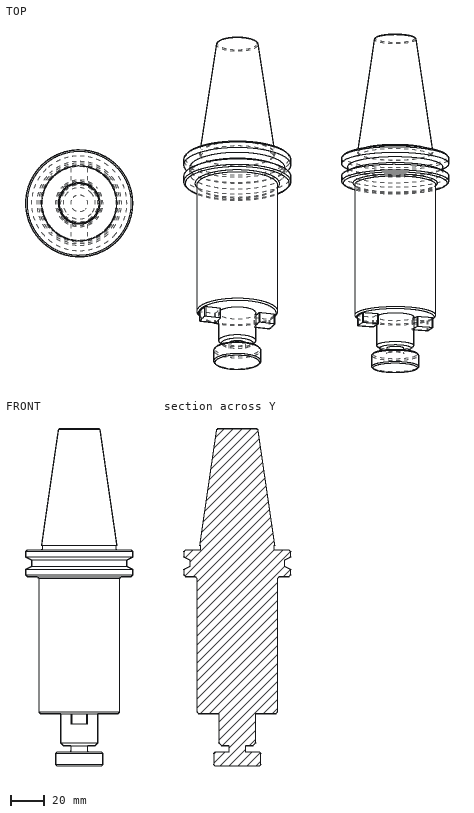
import cadquery as cq
import math


gauge_diameter = 44.5
taper_length = 68.4
taper_ratio = 7 / 24
taper_tip_chamfer = 0.5
gauge_land_height = 0.5
collar_diameter = 43.7
collar_root_fillet = 0.4

flange_diameter = 63.5
flange_top = -3.2
flange_thickness = 16.0
flange_chamfer = 1.0
groove_diameter = 56.2
groove_center = flange_top - flange_thickness / 2
groove_floor_width = 3.5
groove_mouth_width = 7.2

body_diameter = 47.9
body_bottom = -100.0
body_chamfer = 1.0
body_root_flare = 1.0

spigot_diameter = 22.0
spigot_length = 19.0
spigot_chamfer = 1.5

screw_neck_diameter = 10.0
screw_head_diameter = 28.0
screw_head_height = 8.4
screw_head_chamfer = 0.8
screw_neck_fillet = 0.5

key_width = 10.0
key_outer_reach = 22.0
key_height = 6.0
key_chamfer = 0.5

total_length = 199.4
part_bottom = taper_length - total_length
flange_bottom = flange_top - flange_thickness
spigot_bottom = body_bottom - spigot_length
screw_head_top = part_bottom + screw_head_height


def cylinder(diameter, bottom, top):
    return cq.Workplane("XY").workplane(offset=bottom).circle(diameter / 2).extrude(top - bottom)


def revolve_profile(points):
    """Turn a closed (radius, height) outline about the Z axis."""
    return cq.Workplane("XZ").polyline(points).close().revolve(360, (0, 0, 0), (0, 1, 0))


def root_fillet(diameter, shoulder, radius):
    """Disc with a concave flared rim that blends a shaft of this diameter into the shoulder below it."""
    shaft_radius = diameter / 2
    mid_arc = radius * (1 - math.sqrt(0.5))
    return (
        cq.Workplane("XZ")
        .moveTo(0, shoulder)
        .lineTo(shaft_radius + radius, shoulder)
        .threePointArc((shaft_radius + mid_arc, shoulder + mid_arc), (shaft_radius, shoulder + radius))
        .lineTo(0, shoulder + radius)
        .close()
        .revolve(360, (0, 0, 0), (0, 1, 0))
    )


def make_taper():
    tip_diameter = gauge_diameter - taper_ratio * taper_length
    cone = revolve_profile([
        (0, -gauge_land_height),
        (gauge_diameter / 2, -gauge_land_height),
        (gauge_diameter / 2, 0),
        (tip_diameter / 2, taper_length),
        (0, taper_length),
    ])
    cone = cone.faces(">Z").chamfer(taper_tip_chamfer)
    collar = cylinder(collar_diameter, flange_top, 0)
    blend = root_fillet(collar_diameter, flange_top, collar_root_fillet)
    return cone.union(collar).union(blend)


def make_flange():
    disc = cylinder(flange_diameter, flange_bottom, flange_top).edges().chamfer(flange_chamfer)
    floor_radius = groove_diameter / 2
    rim_radius = flange_diameter / 2
    groove = revolve_profile([
        (floor_radius, groove_center - groove_floor_width / 2),
        (rim_radius, groove_center - groove_mouth_width / 2),
        (rim_radius, groove_center + groove_mouth_width / 2),
        (floor_radius, groove_center + groove_floor_width / 2),
    ])
    return disc.cut(groove)


def make_body():
    body = cylinder(body_diameter, body_bottom, flange_bottom)
    body = body.faces("<Z").edges().chamfer(body_chamfer)
    body_radius = body_diameter / 2
    flare_bottom = flange_bottom - body_root_flare
    flare = revolve_profile([
        (0, flange_bottom),
        (body_radius + body_root_flare, flange_bottom),
        (body_radius, flare_bottom),
        (0, flare_bottom),
    ])
    return body.union(flare)


def make_spigot():
    spigot = cylinder(spigot_diameter, spigot_bottom, body_bottom)
    return spigot.faces("<Z").edges().chamfer(spigot_chamfer)


def make_screw():
    neck = cylinder(screw_neck_diameter, screw_head_top, spigot_bottom)
    head = cylinder(screw_head_diameter, part_bottom, screw_head_top).edges().chamfer(screw_head_chamfer)
    blend = root_fillet(screw_neck_diameter, screw_head_top, screw_neck_fillet)
    return neck.union(head).union(blend)


def make_key(side):
    """Square drive key below the body on the +Y (side = 1) or -Y (side = -1) side."""
    key = (
        cq.Workplane("XY")
        .workplane(offset=body_bottom - key_height)
        .center(0, side * (key_outer_reach - key_width / 2))
        .rect(key_width, key_width)
        .extrude(key_height)
    )
    return key.edges("|Z").chamfer(key_chamfer)


result = make_taper().union(make_flange()).union(make_body()).union(make_spigot()).union(make_screw())
for side in (-1, 1):
    result = result.union(make_key(side))